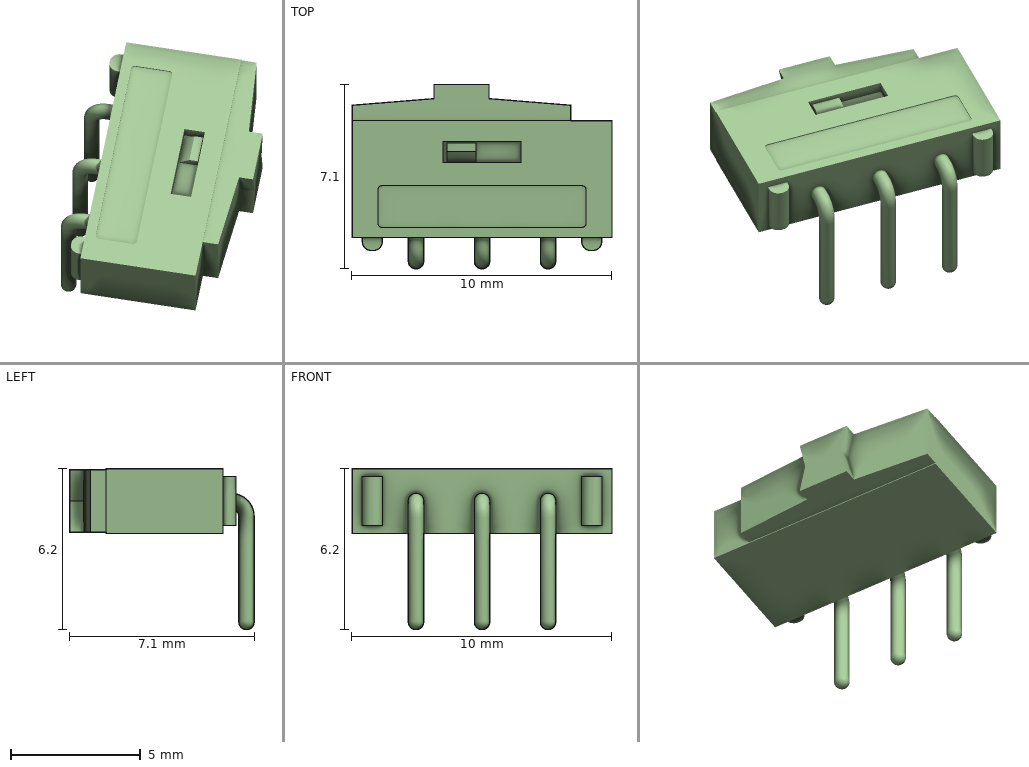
import cadquery as cq

HOUSING_WIDTH = 10.0
HOUSING_DEPTH = 4.5
HOUSING_HEIGHT = 2.5

LABEL_WIDTH = 8.0
LABEL_FRONT = 0.4
LABEL_DEPTH = 1.6
LABEL_CORNER_RADIUS = 0.15
LABEL_RECESS = 0.05

WINDOW_WIDTH = 3.0
WINDOW_FRONT = 2.9
WINDOW_DEPTH = 0.8
WINDOW_BACK = WINDOW_FRONT + WINDOW_DEPTH
WINDOW_DROP = 0.45

PAD_WIDTH = 0.78
PAD_REACH = 0.5
PAD_ROUNDING = 0.36
PAD_CENTRE = 4.22
PAD_END_MARGIN = 0.3
PAD_HEIGHT = HOUSING_HEIGHT - 2 * PAD_END_MARGIN

SLIDER_WIDTH = 8.42
SLIDER_CENTRE = (SLIDER_WIDTH - HOUSING_WIDTH) / 2
SLIDER_CLEARANCE = 0.04
SLIDER_HEIGHT = HOUSING_HEIGHT - 2 * SLIDER_CLEARANCE
SLIDER_END_BACK = 5.1
SLIDER_RIDGE_BACK = 5.44
HANDLE_WIDTH = 2.12
HANDLE_BACK = 5.9
GRIP_GROOVE_DEPTH = 0.25

TONGUE_WIDTH = 5.0
TONGUE_FRONT = 2.5
TONGUE_TOP = HOUSING_HEIGHT - WINDOW_DROP
TONGUE_BOTTOM = WINDOW_DROP

INDICATOR_WIDTH = 1.1
INDICATOR_BACK_GAP = 0.05
INDICATOR_BACK = WINDOW_BACK - INDICATOR_BACK_GAP
INDICATOR_RAMP_BACK = 3.32
INDICATOR_HEIGHT = 0.3

PIN_COUNT = 3
PIN_PITCH = 2.54
PIN_RADIUS = 0.3
PIN_EXIT_HEIGHT = HOUSING_HEIGHT / 2
PIN_BEND_RADIUS = 0.6
PIN_STRAIGHT_LENGTH = 0.3
PIN_TIP_Z = -3.7


def box(width, y_front, y_back, z_bottom, z_top, x_centre=0):
    """Box given by its width about x_centre and its y and z limits."""
    return (
        cq.Workplane("XY")
        .box(width, y_back - y_front, z_top - z_bottom, centered=(True, False, False))
        .translate((x_centre, y_front, z_bottom))
    )


def make_tongue():
    return box(TONGUE_WIDTH, TONGUE_FRONT, HOUSING_DEPTH, TONGUE_BOTTOM, TONGUE_TOP, SLIDER_CENTRE)


def make_pad(x_centre):
    """Stand-off pad with both of its front corners rounded."""
    pad = box(PAD_WIDTH, -PAD_REACH, 0, PAD_END_MARGIN, PAD_END_MARGIN + PAD_HEIGHT, x_centre)
    return pad.faces("<Y").edges("|Z").fillet(PAD_ROUNDING)


def make_housing():
    housing = box(HOUSING_WIDTH, 0, HOUSING_DEPTH, 0, HOUSING_HEIGHT)
    label = box(
        LABEL_WIDTH,
        LABEL_FRONT,
        LABEL_FRONT + LABEL_DEPTH,
        HOUSING_HEIGHT - LABEL_RECESS,
        HOUSING_HEIGHT,
    )
    label = label.edges("|Z").fillet(LABEL_CORNER_RADIUS)
    window = box(WINDOW_WIDTH, WINDOW_FRONT, WINDOW_BACK, TONGUE_TOP, HOUSING_HEIGHT)
    housing = housing.cut(label).cut(window).cut(make_tongue())
    for side in (-1, 1):
        housing = housing.union(make_pad(side * PAD_CENTRE))
    return housing


def make_indicator():
    """Raised block on the tongue: a flat top at the back and a ramp at the front."""
    profile = [
        (WINDOW_FRONT, TONGUE_TOP),
        (INDICATOR_BACK, TONGUE_TOP),
        (INDICATOR_BACK, TONGUE_TOP + INDICATOR_HEIGHT),
        (INDICATOR_RAMP_BACK, TONGUE_TOP + INDICATOR_HEIGHT),
    ]
    return (
        cq.Workplane("YZ", origin=(SLIDER_CENTRE, 0, 0))
        .polyline(profile)
        .close()
        .extrude(INDICATOR_WIDTH / 2, both=True)
    )


def make_slider_bar():
    """Bar behind the housing whose back slopes from a ridge under the handle down to each end."""
    half_width = SLIDER_WIDTH / 2
    outline = [
        (-half_width, HOUSING_DEPTH),
        (half_width, HOUSING_DEPTH),
        (half_width, SLIDER_END_BACK),
        (0, SLIDER_RIDGE_BACK),
        (-half_width, SLIDER_END_BACK),
    ]
    return (
        cq.Workplane("XY", origin=(SLIDER_CENTRE, 0, SLIDER_CLEARANCE))
        .polyline(outline)
        .close()
        .extrude(SLIDER_HEIGHT)
    )


def make_handle():
    """Handle with a shallow V groove along each side, deepest at mid height."""
    half_handle = HANDLE_WIDTH / 2
    half_waist = half_handle - GRIP_GROOVE_DEPTH
    half_height = SLIDER_HEIGHT / 2
    section = [
        (-half_handle, -half_height),
        (half_handle, -half_height),
        (half_waist, 0),
        (half_handle, half_height),
        (-half_handle, half_height),
        (-half_waist, 0),
    ]
    return (
        cq.Workplane("XZ", origin=(SLIDER_CENTRE, HANDLE_BACK, HOUSING_HEIGHT / 2))
        .polyline(section)
        .close()
        .extrude(HANDLE_BACK - HOUSING_DEPTH)
    )


def make_slider():
    return make_slider_bar().union(make_handle()).union(make_tongue()).union(make_indicator())


def make_pin(x_centre):
    """Wire swept along a straight, a quarter bend and a straight, with a ball end."""
    bend_start_y = -PIN_STRAIGHT_LENGTH
    leg_y = bend_start_y - PIN_BEND_RADIUS
    leg_top_z = PIN_EXIT_HEIGHT - PIN_BEND_RADIUS
    ball_z = PIN_TIP_Z + PIN_RADIUS
    path = (
        cq.Workplane("YZ", origin=(x_centre, 0, 0))
        .moveTo(0, PIN_EXIT_HEIGHT)
        .lineTo(bend_start_y, PIN_EXIT_HEIGHT)
        .tangentArcPoint((leg_y, leg_top_z), relative=False)
        .lineTo(leg_y, ball_z)
    )
    wire = cq.Workplane("XZ", origin=(x_centre, 0, PIN_EXIT_HEIGHT)).circle(PIN_RADIUS).sweep(path)
    ball = cq.Workplane("XY", origin=(x_centre, leg_y, ball_z)).sphere(PIN_RADIUS)
    return wire.union(ball)


housing = make_housing()
slider = make_slider()
pins = [make_pin((index - (PIN_COUNT - 1) / 2) * PIN_PITCH) for index in range(PIN_COUNT)]

result = cq.Compound.makeCompound([housing.val(), slider.val(), *[pin.val() for pin in pins]])